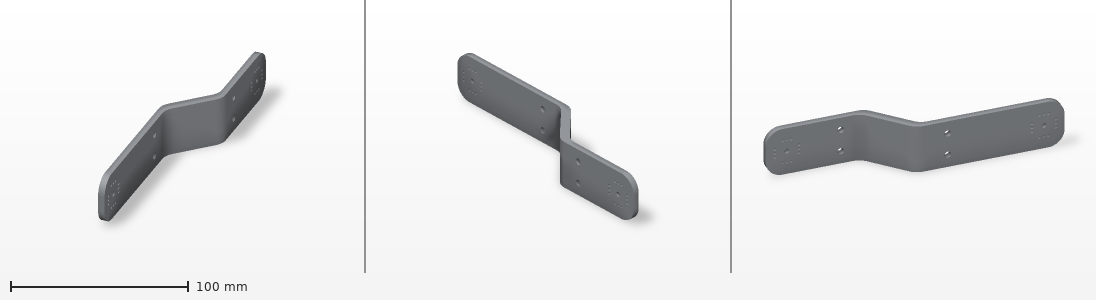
import cadquery as cq

length = 170.0
width = 30.0
arm_thickness = 4.0
step_depth = 24.6
corner_radius = 10.0

bend_radius = 10.0
web_width_along_y = 8.0
lower_bend_y = 89.0

screw_hole_diameter = 4.0
screw_hole_spacing = 14.0
lower_screw_distance = 70.0
upper_screw_distance = 45.0

horn_distance = 12.5
horn_center_diameter = 3.0
horn_hole_diameter = 1.6
horn_row_radius = 7.25
horn_hole_pitch = 2.62
holes_per_row = 3

total_depth = step_depth + arm_thickness


def make_stepped_strip():
    """Extrude the Z-shaped profile and round its four bends."""
    back_lower = (0, lower_bend_y)
    back_upper = (step_depth, lower_bend_y + step_depth)
    front_lower = (arm_thickness, lower_bend_y + arm_thickness - web_width_along_y)
    front_upper = (total_depth, lower_bend_y + total_depth - web_width_along_y)
    outline = [
        (0, 0),
        (arm_thickness, 0),
        front_lower,
        front_upper,
        (total_depth, length),
        (step_depth, length),
        back_upper,
        back_lower,
    ]
    strip = cq.Workplane("XY").workplane(offset=-width / 2).polyline(outline).close().extrude(width)
    for x, y in (back_lower, back_upper, front_lower, front_upper):
        bend_edge = cq.selectors.NearestToPointSelector((x, y, 0))
        strip = strip.edges("|Z").edges(bend_edge).fillet(bend_radius)
    return strip


def round_ends(strip):
    """Round the corners of both free ends as seen along X."""
    for end in ("<Y", ">Y"):
        strip = strip.faces(end).edges("|X").fillet(corner_radius)
    return strip


def drill(points, diameter):
    """Return through-cutters along X at the given (Y, Z) points."""
    return cq.Workplane("YZ").pushPoints(points).circle(diameter / 2).extrude(total_depth)


def horn_row_points(center_y):
    """Return the (Y, Z) points of the four rows of holes around a horn centre."""
    points = []
    for index in range(holes_per_row):
        along = (index - (holes_per_row - 1) / 2) * horn_hole_pitch
        for side in (-horn_row_radius, horn_row_radius):
            points.append((center_y + along, side))
            points.append((center_y + side, along))
    return points


result = round_ends(make_stepped_strip())

for screw_y in (lower_screw_distance, length - upper_screw_distance):
    screw_points = [(screw_y, -screw_hole_spacing / 2), (screw_y, screw_hole_spacing / 2)]
    result = result.cut(drill(screw_points, screw_hole_diameter))

for horn_y in (horn_distance, length - horn_distance):
    result = result.cut(drill([(horn_y, 0)], horn_center_diameter))
    result = result.cut(drill(horn_row_points(horn_y), horn_hole_diameter))